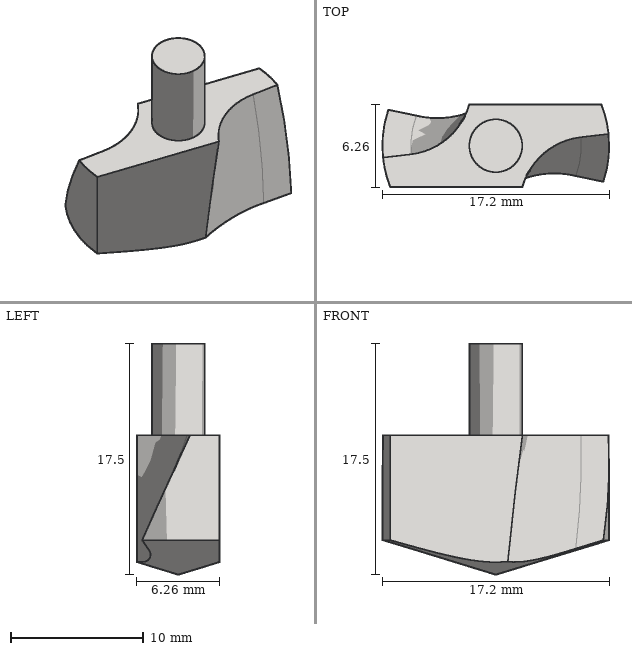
import cadquery as cq
import math

total_height = 17.5
body_top = 10.59
shank_diameter = 4.0
blade_radius = 8.6
blade_thickness = 6.26
point_slope_angle = 17.0
shoulder_height = blade_radius * math.tan(math.radians(point_slope_angle))

flute_radius = 5.2
face_angle = 6.7
face_inner_x = -6.42
face_inner_y = -0.65
clearance = 3.5
twist_per_unit = 3.086
flute_twist = twist_per_unit * body_top


def make_blade():
    """Cylinder with a conical point, trimmed to a flat blade."""
    turned = (
        cq.Workplane("XZ")
        .moveTo(0, 0)
        .lineTo(blade_radius, shoulder_height)
        .lineTo(blade_radius, body_top)
        .lineTo(0, body_top)
        .close()
        .revolve(360, (0, 0, 0), (0, 1, 0))
    )
    slab = cq.Workplane("XY").box(
        2 * blade_radius + clearance, blade_thickness, body_top, centered=(True, True, False)
    )
    return turned.intersect(slab)


def make_flute():
    """Twisted cutter for the flute on the -X side."""
    face_slope = math.radians(face_angle)
    center_x = face_inner_x - flute_radius * math.sin(face_slope)
    center_y = face_inner_y + flute_radius * math.cos(face_slope)
    arc_angle = face_slope / 2 - math.pi / 4
    arc_middle = (
        center_x + flute_radius * math.cos(arc_angle),
        center_y + flute_radius * math.sin(arc_angle),
    )
    outer_x = -blade_radius - clearance
    outer_y = blade_radius + clearance
    face_outer_y = face_inner_y + (outer_x - face_inner_x) * math.tan(face_slope)
    section = (
        cq.Workplane("XY")
        .transformed(rotate=(0, 0, -flute_twist))
        .moveTo(outer_x, face_outer_y)
        .lineTo(face_inner_x, face_inner_y)
        .threePointArc(arc_middle, (center_x + flute_radius, center_y))
        .lineTo(center_x + flute_radius, outer_y)
        .lineTo(outer_x, outer_y)
        .close()
    )
    return section.twistExtrude(body_top, flute_twist)


blade = make_blade()
flute = make_flute()
for turn in (0, 180):
    blade = blade.cut(flute.rotate((0, 0, 0), (0, 0, 1), turn))

shank = (
    cq.Workplane("XY")
    .workplane(offset=body_top)
    .circle(shank_diameter / 2)
    .extrude(total_height - body_top)
)
result = blade.union(shank)